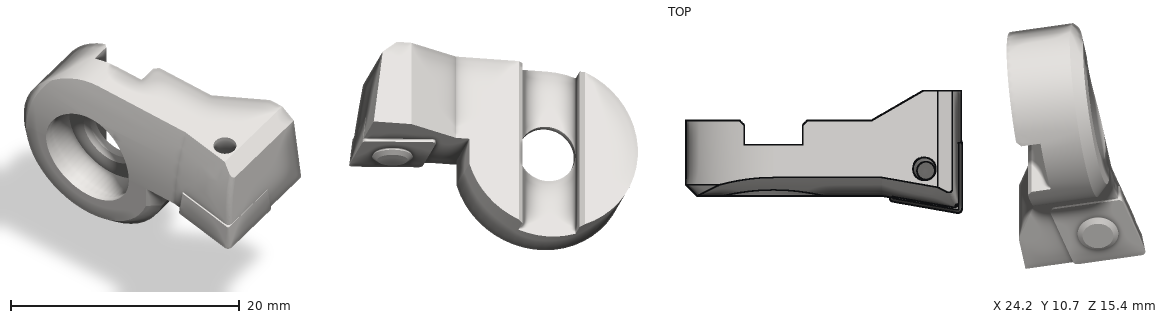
import cadquery as cq
import math


OVERALL_DEPTH = 10.69

RING_RADIUS = 7.675
RING_WIDTH = 6.6
RING_CHAMFER = 1.0
RING_FLAT_X = 7.35
COUNTERBORE_DIAMETER = 9.0
COUNTERBORE_DEPTH = 3.4
BORE_DIAMETER = 5.05
BORE_CHAMFER = 0.4
NOTCH_WIDTH = 5.1
NOTCH_FLOOR_Y = 4.5
NOTCH_CHAMFER = 0.4

ARM_BOTTOM_Z = 0.1
ARM_TOP_Z = RING_RADIUS
ARM_FRONT_RADIUS = 18.5
BEND_X = 9.47
BEND_ANGLE = math.radians(10)
FLARE_START_X = 8.55
FLARE_ANGLE = math.radians(30)
TIP_BACK_Y = 9.2
TIP_CHAMFER_START_X = 14.35
TIP_CHAMFER_END_X = 15.61
TIP_CHAMFER_HEIGHT = 1.0
TIP_CORNER_RADIUS = 0.4

RELIEF_ANGLE = 7.0
INSERT_CIRCLE = 6.35
INSERT_NOSE_ANGLE = math.radians(80)
INSERT_THICKNESS = 2.38
INSERT_BOTTOM_Z = -0.2
INSERT_EDGE_X = 16.485
INSERT_CORNER_RADIUS = 0.4
INSERT_FRONT_Y = TIP_BACK_Y - OVERALL_DEPTH

SHANK_DIAMETER = 2.5
SHANK_TIP_DIAMETER = 1.56
SHANK_TIP_Z = 5.0
HEAD_DIAMETER = 3.56
HEAD_TOP_DIAMETER = 2.69
HEAD_RIM_Z = -0.42
HEAD_TOP_Z = -0.74
HEAD_SEAT_ANGLE = math.radians(30)
SCREW_HOLE_DIAMETER = 2.0
SCREW_HOLE_OFFSET = 0.2

nose_center_y = INSERT_FRONT_Y + INSERT_CORNER_RADIUS
nose_x = INSERT_EDGE_X
nose_y = nose_center_y - INSERT_CORNER_RADIUS / math.tan(INSERT_NOSE_ANGLE / 2)
insert_edge = INSERT_CIRCLE / math.sin(INSERT_NOSE_ANGLE)
front_edge_x = -insert_edge * math.cos(BEND_ANGLE)
front_edge_y = insert_edge * math.sin(BEND_ANGLE)
insert_center_x = nose_x + front_edge_x / 2
insert_center_y = nose_y + (front_edge_y + insert_edge) / 2

CLEARANCE = 5.0


def make_insert_blank():
    corners = [
        (nose_x, nose_y),
        (nose_x, nose_y + insert_edge),
        (nose_x + front_edge_x, nose_y + front_edge_y + insert_edge),
        (nose_x + front_edge_x, nose_y + front_edge_y),
    ]
    outline = (
        cq.Sketch().polygon(corners + corners[:1]).vertices().fillet(INSERT_CORNER_RADIUS)
    )
    return (
        cq.Workplane("XY", origin=(0, 0, INSERT_BOTTOM_Z))
        .placeSketch(outline)
        .extrude(INSERT_THICKNESS, taper=RELIEF_ANGLE)
    )


def make_screw():
    shank_radius = SHANK_DIAMETER / 2
    tip_radius = SHANK_TIP_DIAMETER / 2
    rim_radius = HEAD_DIAMETER / 2
    seat_end_z = HEAD_RIM_Z + (rim_radius - shank_radius) / math.tan(HEAD_SEAT_ANGLE)
    half_profile = [
        (0, HEAD_TOP_Z),
        (HEAD_TOP_DIAMETER / 2, HEAD_TOP_Z),
        (rim_radius, HEAD_RIM_Z),
        (shank_radius, seat_end_z),
        (shank_radius, SHANK_TIP_Z - (shank_radius - tip_radius)),
        (tip_radius, SHANK_TIP_Z),
        (0, SHANK_TIP_Z),
    ]
    return (
        cq.Workplane("XZ", origin=(insert_center_x, insert_center_y, 0))
        .polyline(half_profile)
        .close()
        .revolve(360, (0, 0, 0), (0, 1, 0))
    )


def make_ring():
    front_radius = RING_RADIUS - RING_CHAMFER
    half_profile = [
        (0, 0),
        (front_radius, 0),
        (RING_RADIUS, RING_CHAMFER),
        (RING_RADIUS, RING_WIDTH),
        (0, RING_WIDTH),
    ]
    disc = cq.Workplane("XY").polyline(half_profile).close().revolve(360, (0, 0, 0), (0, 1, 0))
    beside_flat = [
        (RING_FLAT_X - RING_CHAMFER, 0),
        (RING_FLAT_X, RING_CHAMFER),
        (RING_FLAT_X, RING_WIDTH),
        (RING_RADIUS, RING_WIDTH),
        (RING_RADIUS, 0),
    ]
    flat_cut = (
        cq.Workplane("XY").polyline(beside_flat).close().extrude(RING_RADIUS, both=True)
    )
    return disc.cut(flat_cut)


def make_arm_block():
    """Arm with an oversized front and end, to be trimmed later."""
    flare_length = (TIP_BACK_Y - RING_WIDTH) / math.tan(FLARE_ANGLE)
    end_x = INSERT_EDGE_X
    plan = [
        (0, 0),
        (BEND_X, 0),
        (BEND_X, INSERT_FRONT_Y),
        (end_x, INSERT_FRONT_Y),
        (end_x, TIP_BACK_Y),
        (FLARE_START_X + flare_length, TIP_BACK_Y),
        (FLARE_START_X, RING_WIDTH),
        (0, RING_WIDTH),
    ]
    return (
        cq.Workplane("XY", origin=(0, 0, ARM_BOTTOM_Z))
        .polyline(plan)
        .close()
        .extrude(ARM_TOP_Z - ARM_BOTTOM_Z)
    )


def front_profile(x):
    """Closed Y-Z profile whose front side is flat low down and an arc above the arm's bottom."""
    top_rise = ARM_TOP_Z - ARM_BOTTOM_Z
    top_y = ARM_FRONT_RADIUS - math.sqrt(ARM_FRONT_RADIUS**2 - top_rise**2)
    back_y = TIP_BACK_Y + CLEARANCE
    return (
        cq.Workplane("YZ", origin=(x, 0, 0))
        .moveTo(back_y, -RING_RADIUS)
        .lineTo(0, -RING_RADIUS)
        .lineTo(0, ARM_BOTTOM_Z)
        .radiusArc((top_y, ARM_TOP_Z), ARM_FRONT_RADIUS)
        .lineTo(back_y, ARM_TOP_Z)
        .close()
        .wire()
        .val()
    )


def make_front_envelope():
    """Space behind the rounded front, straight up to the bend and leaning forward after it."""
    straight_length = RING_RADIUS + BEND_X
    straight = cq.Solid.extrudeLinear(
        front_profile(-RING_RADIUS), [], cq.Vector(straight_length, 0, 0)
    )
    lean_length = INSERT_EDGE_X + CLEARANCE - BEND_X
    lean = cq.Vector(lean_length, -lean_length * math.tan(BEND_ANGLE), 0)
    leaning = cq.Solid.extrudeLinear(front_profile(BEND_X), [], lean)
    return cq.Workplane(straight).union(cq.Workplane(leaning))


def flank_x(z):
    """X of the sloped arm end at height z."""
    chamfer_end_z = ARM_TOP_Z - TIP_CHAMFER_HEIGHT
    return TIP_CHAMFER_END_X + (chamfer_end_z - z) * math.tan(math.radians(RELIEF_ANGLE))


def make_tip_envelope(end_points):
    """Space left of the arm end, whose side outline runs through end_points from low to high."""
    left_x = -RING_RADIUS - CLEARANCE
    outline = [(left_x, -RING_RADIUS)] + end_points + [(left_x, ARM_TOP_Z)]
    return (
        cq.Workplane("XZ", origin=(0, INSERT_FRONT_Y - CLEARANCE, 0))
        .polyline(outline)
        .close()
        .extrude(-(OVERALL_DEPTH + 2 * CLEARANCE))
    )


def shape_tip(body):
    """Slope the arm end, round its front corner, then chamfer its top."""
    low_point = (flank_x(-RING_RADIUS), -RING_RADIUS)
    body = body.intersect(make_tip_envelope([low_point, (flank_x(ARM_TOP_Z), ARM_TOP_Z)]))

    middle_z = (ARM_TOP_Z + ARM_BOTTOM_Z) / 2
    corner_x = flank_x(middle_z)
    corner_y = -(corner_x - BEND_X) * math.tan(BEND_ANGLE)
    front_corner = cq.selectors.NearestToPointSelector((corner_x, corner_y, middle_z))
    body = body.edges(front_corner).fillet(TIP_CORNER_RADIUS)

    chamfer_end = (TIP_CHAMFER_END_X, ARM_TOP_Z - TIP_CHAMFER_HEIGHT)
    chamfer_start = (TIP_CHAMFER_START_X, ARM_TOP_Z)
    return body.intersect(make_tip_envelope([low_point, chamfer_end, chamfer_start]))


def cut_bore(body):
    counterbore = cq.Workplane("XZ").circle(COUNTERBORE_DIAMETER / 2).extrude(-COUNTERBORE_DEPTH)
    radius = BORE_DIAMETER / 2
    bore = cq.Workplane("XZ").circle(radius).extrude(-RING_WIDTH)
    chamfer_cone = cq.Workplane(
        cq.Solid.makeCone(
            radius + BORE_CHAMFER,
            radius,
            BORE_CHAMFER,
            pnt=cq.Vector(0, COUNTERBORE_DEPTH, 0),
            dir=cq.Vector(0, 1, 0),
        )
    )
    return body.cut(counterbore).cut(bore).cut(chamfer_cone)


def cut_notch(body):
    half = NOTCH_WIDTH / 2
    mouth_half = half + NOTCH_CHAMFER
    right_side = [
        (half, NOTCH_FLOOR_Y),
        (half, RING_WIDTH - NOTCH_CHAMFER),
        (mouth_half, RING_WIDTH),
    ]
    left_side = [(-x, y) for x, y in reversed(right_side)]
    notch = (
        cq.Workplane("XY", origin=(0, 0, -RING_RADIUS))
        .polyline(right_side + left_side)
        .close()
        .extrude(2 * RING_RADIUS)
    )
    return body.cut(notch)


def cut_screw_hole(body):
    """Vertical hole that reaches the screw from the arm's top."""
    away_angle = math.pi / 2 + INSERT_NOSE_ANGLE / 2
    hole_x = insert_center_x + SCREW_HOLE_OFFSET * math.cos(away_angle)
    hole_y = insert_center_y + SCREW_HOLE_OFFSET * math.sin(away_angle)
    hole = (
        cq.Workplane("XY", origin=(hole_x, hole_y, ARM_BOTTOM_Z))
        .circle(SCREW_HOLE_DIAMETER / 2)
        .extrude(ARM_TOP_Z - ARM_BOTTOM_Z)
    )
    return body.cut(hole)


def make_holder(insert_blank, screw):
    body = make_ring().union(make_arm_block()).intersect(make_front_envelope())
    body = shape_tip(body)
    body = cut_bore(body)
    body = cut_notch(body)
    body = cut_screw_hole(body)
    return body.cut(insert_blank).cut(screw)


insert_blank = make_insert_blank()
screw = make_screw()
insert = insert_blank.cut(screw)
holder = make_holder(insert_blank, screw)

result = cq.Compound.makeCompound(
    [*holder.solids().vals(), *insert.solids().vals(), *screw.solids().vals()]
)